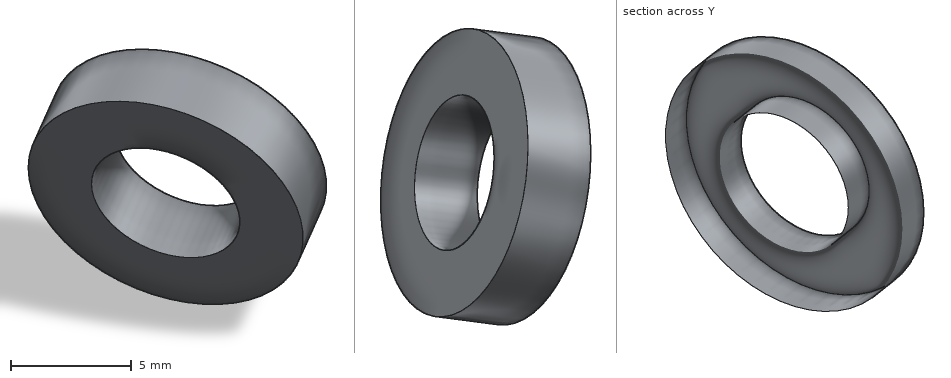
import cadquery as cq

cavity_outer_diameter = 12.0
cavity_inner_diameter = 6.5
cavity_width = 3.0
wall = 0.015

outer_diameter = cavity_outer_diameter + 2 * wall
bore_diameter = cavity_inner_diameter - 2 * wall
width = cavity_width + 2 * wall


def ring(large_diameter, small_diameter, length):
    """Solid ring about Y, revolved from a rectangular section on the -X side."""
    section_height = (large_diameter - small_diameter) / 2
    section_radius = (large_diameter + small_diameter) / 4
    return (
        cq.Workplane("XY")
        .center(-section_radius, 0)
        .rect(section_height, length)
        .revolve(360, (section_radius, 0, 0), (section_radius, 1, 0))
    )


body = ring(outer_diameter, bore_diameter, width)
cavity = ring(cavity_outer_diameter, cavity_inner_diameter, cavity_width)
result = body.cut(cavity)